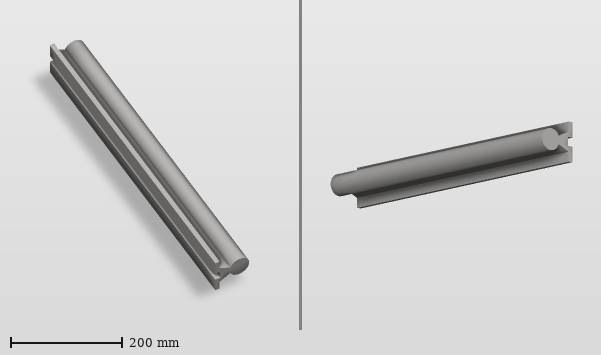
import cadquery as cq
import math

length = 600.0
rail_depth = 70.0
flange_height = 73.0

rod_diameter = 40.0
rod_radius = rod_diameter / 2

flange_thickness = 9.0
web_root_height = 36.5
web_seat_height = 15.0
slot_width = 16.0
slot_depth = 11.0

rod_center_y = rail_depth - rod_radius
seat_half_height = web_seat_height / 2
seat_edge_y = rod_center_y - math.sqrt(rod_radius**2 - seat_half_height**2)
seat_bottom_y = rod_center_y - rod_radius


def make_rod():
    """Round guide rod running along X."""
    return cq.Workplane("YZ").center(rod_center_y, 0).circle(rod_radius).extrude(length)


def make_support():
    """Extruded support with a concave seat that fits the rod."""
    flange_half = flange_height / 2
    root_half = web_root_height / 2
    slot_half = slot_width / 2
    return (
        cq.Workplane("YZ")
        .moveTo(0, flange_half)
        .lineTo(flange_thickness, flange_half)
        .lineTo(flange_thickness, root_half)
        .lineTo(seat_edge_y, seat_half_height)
        .threePointArc((seat_bottom_y, 0), (seat_edge_y, -seat_half_height))
        .lineTo(flange_thickness, -root_half)
        .lineTo(flange_thickness, -flange_half)
        .lineTo(0, -flange_half)
        .lineTo(0, -slot_half)
        .lineTo(slot_depth, -slot_half)
        .lineTo(slot_depth, slot_half)
        .lineTo(0, slot_half)
        .close()
        .extrude(length)
    )


rod = make_rod()
support = make_support()

result = cq.Compound.makeCompound([rod.val(), support.val()])